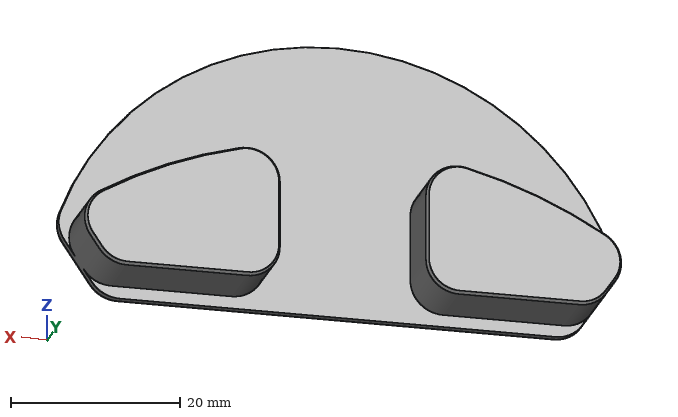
import cadquery as cq
import math

plate_height = 33.9
plate_thickness = 1.0
plate_arc_radius = 36.0
bottom_half_width = 28.75
slant_angle = math.radians(34)
corner_radius = 4.0

total_depth = 9.0
pad_bottom = 1.5
pad_inner_x = 8.9
pad_arc_radius = 60.05
pad_arc_crown = 19.1
pad_chamfer_inset = 0.3
pad_chamfer_depth = 0.5


def slant_x(z):
    """Half width of the slanted side at height z."""
    return bottom_half_width + z * math.tan(slant_angle)


def arc_z(x, radius, crown):
    """Height at x of an arc centred on x = 0 with its highest point at crown."""
    return crown - radius + math.sqrt(radius**2 - x**2)


def slant_meets_arc(radius, crown):
    """Point where the right slanted side reaches the arc."""
    foot_to_centre_z = radius - crown
    along = bottom_half_width * math.sin(slant_angle) + foot_to_centre_z * math.cos(slant_angle)
    foot_distance_squared = bottom_half_width**2 + foot_to_centre_z**2
    length = -along + math.sqrt(along**2 - foot_distance_squared + radius**2)
    z = length * math.cos(slant_angle)
    return slant_x(z), z


def make_plate():
    corner_x, corner_z = slant_meets_arc(plate_arc_radius, plate_height)
    return (
        cq.Workplane("XZ")
        .moveTo(-bottom_half_width, 0)
        .lineTo(bottom_half_width, 0)
        .lineTo(corner_x, corner_z)
        .threePointArc((0, plate_height), (-corner_x, corner_z))
        .close()
        .extrude(-plate_thickness)
        .edges("|Y")
        .fillet(corner_radius)
    )


def make_right_pad():
    corner_x, corner_z = slant_meets_arc(pad_arc_radius, pad_arc_crown)
    middle_x = (pad_inner_x + corner_x) / 2
    return (
        cq.Workplane("XZ")
        .moveTo(pad_inner_x, pad_bottom)
        .lineTo(slant_x(pad_bottom), pad_bottom)
        .lineTo(corner_x, corner_z)
        .threePointArc(
            (middle_x, arc_z(middle_x, pad_arc_radius, pad_arc_crown)),
            (pad_inner_x, arc_z(pad_inner_x, pad_arc_radius, pad_arc_crown)),
        )
        .close()
        .extrude(-total_depth)
        .edges("|Y")
        .fillet(corner_radius)
        .faces(">Y")
        .chamfer(pad_chamfer_depth, pad_chamfer_inset)
    )


right_pad = make_right_pad()
left_pad = right_pad.mirror("YZ")
result = make_plate().union(right_pad).union(left_pad)